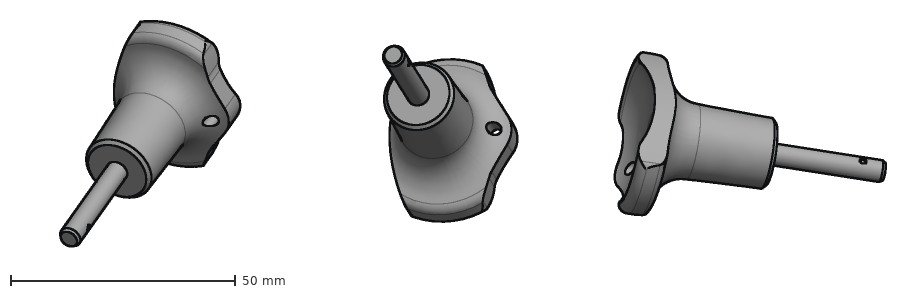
import cadquery as cq
import math

total_length = 58.5

pin_radius = 2.485
pin_chamfer_length = 0.75
pin_chamfer_width = 0.45
ball_radius = 0.75
ball_from_tip = 5.3
ball_sink = 0.05

hub_face_y = -32.45
hub_top_y = -14.5
hub_face_radius = 7.15
hub_chamfer = 0.9
hub_top_radius = 8.55

rim_radius = 18.95
rim_lower_radius = 18.5
rim_lower_y = -5.15
rim_round = 2.3
flare_end_radius = 16.5
flare_radius = 7.85
under_rim_round = 2.2
under_rim_y = hub_top_y + flare_radius
dish_floor_radius = 5.25
dish_floor_y = -5.0
dish_radius = 14.6
dish_rim_round = 1.45
dish_rim_angle = math.radians(140)

side_x = 12.0
side_arc_radius = 42.1
corner_round = 2.5
nose_x = 15.6
nose_radius = 7.0
nose_half_angle = math.radians(30)
nose_blend_radius = 6.45
lanyard_hole_x = 11.95
lanyard_hole_diameter = 3.0


def round_point(center_radius, round_radius, angle):
    """Point (radius, y) on a rim round whose circle touches y = 0."""
    return (
        center_radius + round_radius * math.cos(angle),
        -round_radius + round_radius * math.sin(angle),
    )


def make_turned_body():
    """Revolve pin, hub, flare, rim and dish as one profile of (radius, y)."""
    rim_center_radius = rim_radius - rim_round
    inner_round_start = round_point(rim_center_radius, dish_rim_round, dish_rim_angle)
    inner_round_middle = round_point(rim_center_radius, dish_rim_round, (math.pi / 2 + dish_rim_angle) / 2)
    outer_round_middle = round_point(rim_center_radius, rim_round, math.pi / 4)
    profile = (
        cq.Workplane("XY")
        .moveTo(0, -total_length)
        .lineTo(pin_radius - pin_chamfer_width, -total_length)
        .lineTo(pin_radius, -total_length + pin_chamfer_length)
        .lineTo(pin_radius, hub_face_y)
        .lineTo(hub_face_radius, hub_face_y)
        .lineTo(hub_face_radius + hub_chamfer, hub_face_y + hub_chamfer)
        .lineTo(hub_top_radius, hub_top_y)
        .radiusArc((flare_end_radius, under_rim_y), flare_radius)
        .radiusArc((rim_lower_radius, rim_lower_y), -under_rim_round)
        .lineTo(rim_radius, -rim_round)
        .threePointArc(outer_round_middle, (rim_center_radius, 0))
        .threePointArc(inner_round_middle, inner_round_start)
        .radiusArc((dish_floor_radius, dish_floor_y), dish_radius)
        .lineTo(0, dish_floor_y)
        .close()
    )
    return profile.revolve(360, (0, 0, 0), (0, 1, 0))


def round_axial_edges(prism, points, radius):
    """Fillet the edges parallel to Y that pass through the given (x, z) points."""
    mid_y = -total_length / 2
    for x, z in points:
        nearest = cq.selectors.NearestToPointSelector((x, mid_y, z))
        prism = prism.edges("|Y").edges(nearest).fillet(radius)
    return prism


def make_outline_prism():
    """Lens-sided outline with a nose on +X, extruded along the whole axis."""
    side_center_x = side_arc_radius - side_x
    corner_x = (side_arc_radius**2 - rim_radius**2 - side_center_x**2) / (2 * side_center_x)
    corner_z = math.sqrt(rim_radius**2 - corner_x**2)

    nose_center_x = nose_x - nose_radius
    tangent_x = nose_center_x + nose_radius * math.cos(nose_half_angle)
    tangent_z = nose_radius * math.sin(nose_half_angle)
    step_x = -math.sin(nose_half_angle)
    step_z = math.cos(nose_half_angle)
    along = (tangent_x + side_center_x) * step_x + tangent_z * step_z
    excess = (tangent_x + side_center_x) ** 2 + tangent_z**2 - side_arc_radius**2
    flank_length = -along - math.sqrt(along**2 - excess)
    flank_x = tangent_x + flank_length * step_x
    flank_z = tangent_z + flank_length * step_z

    prism = (
        cq.Workplane("XZ")
        .moveTo(-corner_x, -corner_z)
        .threePointArc((-side_x, 0), (-corner_x, corner_z))
        .threePointArc((0, rim_radius), (corner_x, corner_z))
        .radiusArc((flank_x, flank_z), side_arc_radius)
        .lineTo(tangent_x, tangent_z)
        .threePointArc((nose_x, 0), (tangent_x, -tangent_z))
        .lineTo(flank_x, -flank_z)
        .radiusArc((corner_x, -corner_z), side_arc_radius)
        .threePointArc((0, -rim_radius), (-corner_x, -corner_z))
        .close()
        .extrude(total_length)
    )

    corner_points = [(sx * corner_x, sz * corner_z) for sx in (-1, 1) for sz in (-1, 1)]
    flank_points = [(flank_x, -flank_z), (flank_x, flank_z)]
    prism = round_axial_edges(prism, corner_points, corner_round)
    return round_axial_edges(prism, flank_points, nose_blend_radius)


def make_ball_pockets():
    """Two opposite radial holes in the pin, each filled by the dome of a lock ball."""
    ball_x = pin_radius - ball_sink - ball_radius
    drilling = (
        cq.Workplane("YZ", origin=(ball_x, -total_length + ball_from_tip, 0))
        .circle(ball_radius)
        .extrude(pin_radius)
    )
    ball = cq.Workplane("XY", origin=(ball_x, -total_length + ball_from_tip, 0)).sphere(ball_radius)
    pocket = drilling.cut(ball)
    return pocket.union(pocket.mirror("YZ"))


def make_lanyard_hole():
    """Hole through the nose of the grip, parallel to the pin."""
    return (
        cq.Workplane("XZ")
        .center(lanyard_hole_x, 0)
        .circle(lanyard_hole_diameter / 2)
        .extrude(-hub_top_y)
    )


grip_and_pin = make_turned_body().intersect(make_outline_prism())
result = grip_and_pin.cut(make_lanyard_hole()).cut(make_ball_pockets())